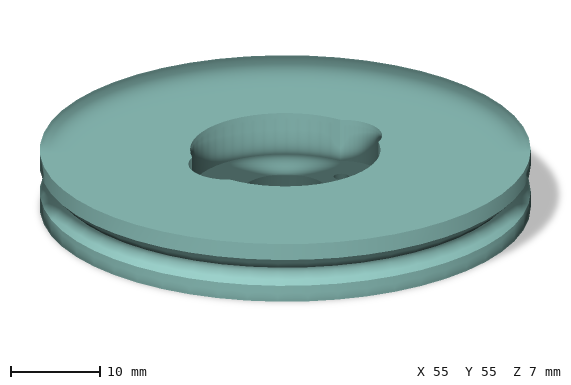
import cadquery as cq

disc_diameter = 55.0
thickness = 7.0
disc_radius = disc_diameter / 2

rim_land = 1.9
groove_depth = 1.55

pocket_diameter = 21.35
pocket_depth = 5.0
bore_diameter = 9.6

screw_diameter = 1.7
screw_offset = 7.55
lobe_diameter = 9.15
screw_points = [(0, screw_offset), (0, -screw_offset)]


def grooved_disc():
    """Revolve the half section of the disc about the Z axis."""
    return (
        cq.Workplane("XZ")
        .lineTo(disc_radius, 0)
        .lineTo(disc_radius, rim_land)
        .lineTo(disc_radius - groove_depth, thickness / 2)
        .lineTo(disc_radius, thickness - rim_land)
        .lineTo(disc_radius, thickness)
        .lineTo(0, thickness)
        .close()
        .revolve(360, (0, 0), (0, 1))
    )


def lobed_pocket():
    """Round pocket with a lobe at each screw, open at the top face."""
    floor = cq.Workplane("XY").workplane(offset=thickness - pocket_depth)
    centre = floor.circle(pocket_diameter / 2).extrude(pocket_depth)
    lobes = floor.pushPoints(screw_points).circle(lobe_diameter / 2).extrude(pocket_depth)
    return centre.union(lobes)


def through_holes():
    """Central bore and the two screw holes."""
    bore = cq.Workplane("XY").circle(bore_diameter / 2).extrude(thickness)
    screws = cq.Workplane("XY").pushPoints(screw_points).circle(screw_diameter / 2).extrude(thickness)
    return bore.union(screws)


result = grooved_disc().cut(lobed_pocket()).cut(through_holes())